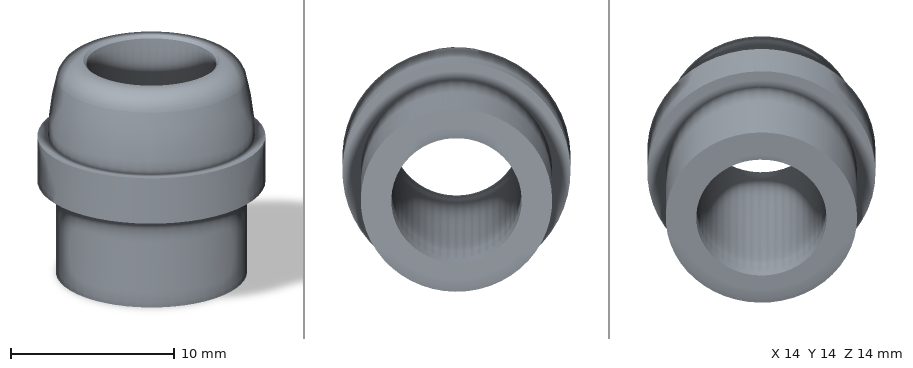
import math

import cadquery as cq

height = 14.0
collar_diameter = 14.0
spigot_diameter = 11.75
bore_diameter = 8.0
rim_chamfer = 0.18

collar_bottom = 6.0
collar_top = 9.0

nose_base_diameter = 12.68
flank_radius = 15.0
crown_radius = 1.5

bore_radius = bore_diameter / 2
spigot_radius = spigot_diameter / 2
collar_radius = collar_diameter / 2
nose_base_radius = nose_base_diameter / 2

flank_center_x = nose_base_radius - flank_radius
crown_center_z = height - crown_radius
shoulder_angle = math.asin((crown_center_z - collar_top) / (flank_radius - crown_radius))
crown_center_x = flank_center_x + (flank_radius - crown_radius) * math.cos(shoulder_angle)


def arc_point(center_x, center_z, radius, angle):
    """Point on a circle, with the angle in radians from the radial direction."""
    return center_x + radius * math.cos(angle), center_z + radius * math.sin(angle)


flank_middle = arc_point(flank_center_x, collar_top, flank_radius, shoulder_angle / 2)
shoulder = arc_point(flank_center_x, collar_top, flank_radius, shoulder_angle)
crown_middle_angle = (shoulder_angle + math.pi / 2) / 2
crown_middle = arc_point(crown_center_x, crown_center_z, crown_radius, crown_middle_angle)

half_section = (
    cq.Workplane("XZ")
    .moveTo(bore_radius, 0)
    .lineTo(spigot_radius, 0)
    .lineTo(spigot_radius, collar_bottom)
    .lineTo(collar_radius, collar_bottom)
    .lineTo(collar_radius, collar_top)
    .lineTo(nose_base_radius, collar_top)
    .threePointArc(flank_middle, shoulder)
    .threePointArc(crown_middle, (crown_center_x, height))
    .lineTo(bore_radius + rim_chamfer, height)
    .lineTo(bore_radius, height - rim_chamfer)
    .close()
)

result = half_section.revolve(360, (0, 0, 0), (0, 1, 0))